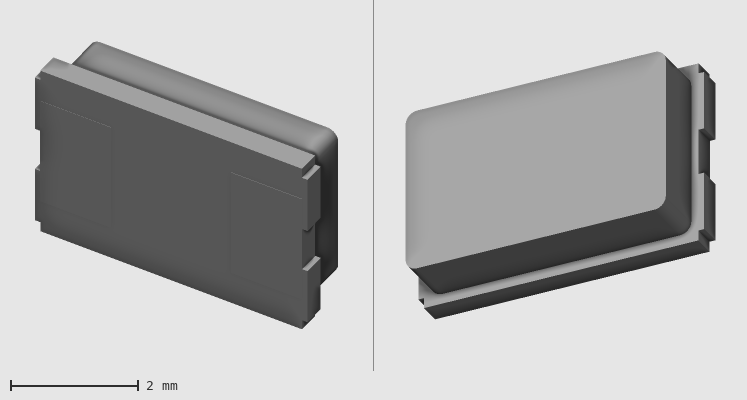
import cadquery as cq

length = 5.0
depth = 1.3
height = 3.2

tab_projection = 0.1
tab_height = 1.02
tab_gap = 0.8
pad_thickness = 0.005
lid_depth = 0.9
plate_depth = depth - lid_depth - pad_thickness
plate_length = length - 2 * tab_projection

lid_length = 4.55
lid_height = 2.85
lid_corner_radius = 0.2

pad_length = 1.3
pad_height = 2.0

plate_front = -depth / 2 + pad_thickness
plate_back = plate_front + plate_depth


def block(size, center_x, front_y, center_z):
    """Box whose -Y face lies at front_y, centred in X and Z."""
    return cq.Workplane("XY").box(*size, centered=(True, False, True)).translate((center_x, front_y, center_z))


def make_housing():
    """Plate, end tabs and rounded lid as one solid."""
    housing = block((plate_length, plate_depth, height), 0, plate_front, 0)

    tab_center_z = (tab_gap + tab_height) / 2
    for side in (-1, 1):
        housing = housing.union(block((length, plate_depth, tab_height), 0, plate_front, side * tab_center_z))

    lid = block((lid_length, lid_depth, lid_height), 0, plate_back, 0)
    lid = lid.edges("|Y").fillet(lid_corner_radius)
    return housing.union(lid)


def make_pad(side):
    """Contact pad lying on the plate front at the given X end."""
    center_x = side * (plate_length - pad_length) / 2
    return block((pad_length, pad_thickness, pad_height), center_x, plate_front - pad_thickness, 0)


housing = make_housing()
pads = [make_pad(side) for side in (-1, 1)]

result = cq.Compound.makeCompound([housing.val(), *[pad.val() for pad in pads]])